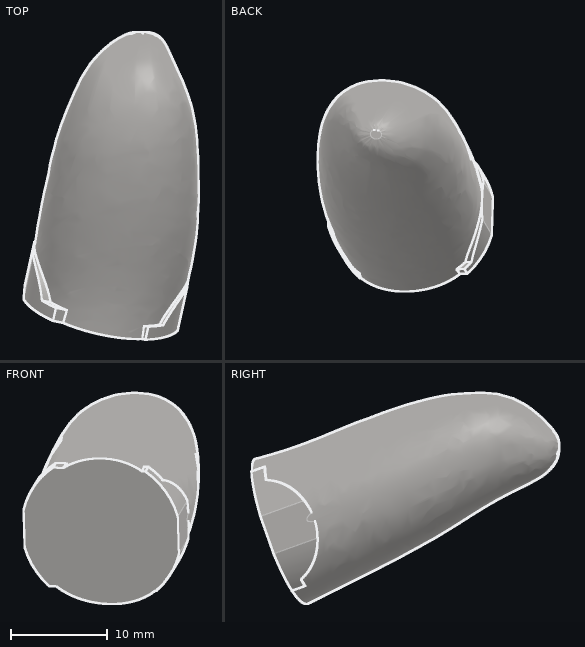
import cadquery as cq
import math

base_centre = (8.1, 3.25, 7.5)
lean_side = 0.22
lean_back = 0.36
base_turn = -2.5
base_plane = cq.Plane(
    origin=base_centre,
    xDir=(1, -lean_side, 0),
    normal=(-lean_side, -1, -lean_back),
).rotated((0, 0, base_turn))
trim_size = 63.82

finger_sections = [
    (-3.2, -0.8, 15.0, -4.6, 13.82),
    (1.6, 0.13, 15.9, -2.1, 15.4),
    (6.38, 0.83, 17.17, 0.3, 17.0),
    (11.17, 1.4, 18.03, 2.68, 18.95),
    (15.95, 2.33, 18.25, 5.15, 20.65),
    (20.75, 3.4, 18.05, 7.88, 21.75),
    (24.9, 4.98, 17.3, 10.47, 21.9),
    (28.08, 6.6, 16.0, 12.13, 20.87),
    (30.3, 8.58, 14.95, 13.37, 19.15),
    (31.45, 10.28, 14.1, 14.55, 17.85),
    (31.9, 11.6, 12.75, 15.83, 16.8),
]
section_points = 16
section_skew = math.radians(4.5)
section_fullness = 0.01

cuff_radius = 8.42
cuff_width = 16.35
cuff_height = 1.47
band_span = 13.08
band_lift = 0.32
tab_height = 5.3
tab_drop = 0.5
tab_radius = tab_height + tab_drop


def section_wire(y, left, right, lower, upper):
    """Closed oval in the plane at distance y, always started near its right-hand edge."""
    half_width = (right - left) / 2 / (1 - section_fullness)
    half_height = (upper - lower) / 2 / (1 - section_fullness)
    points = []
    for step in range(section_points):
        angle = 2 * math.pi * step / section_points
        lagged = angle - section_skew
        across = math.cos(lagged) - section_fullness * math.cos(3 * lagged)
        up = math.sin(angle) + section_fullness * math.sin(3 * angle)
        x = (left + right) / 2 + half_width * across
        z = (lower + upper) / 2 + half_height * up
        points.append(cq.Vector(x, y, z))
    return cq.Wire.assembleEdges([cq.Edge.makeSpline(points, periodic=True)])


def finger_body():
    """Smooth tapering finger whose root runs past the base plane."""
    wires = [section_wire(*section) for section in finger_sections]
    return cq.Workplane(cq.Solid.makeLoft(wires))


def base_block(height):
    """Block on the base plane, as wide as the cuff and as tall as its side bands."""
    return (
        cq.Workplane(base_plane)
        .center(0, band_lift)
        .rect(cuff_width, band_span)
        .extrude(-height)
    )


def cuff():
    """Side bands and their round tabs, standing on the base plane."""
    column = cq.Workplane(base_plane).circle(cuff_radius).extrude(-tab_height)
    tab_disc = (
        cq.Workplane(base_plane)
        .transformed(rotate=(0, 90, 0), offset=(0, 0, tab_drop))
        .circle(tab_radius)
        .extrude(cuff_width, both=True)
    )
    tabs = base_block(tab_height).intersect(tab_disc)
    return column.intersect(base_block(cuff_height).union(tabs))


def root_waste():
    """Everything on the outer side of the base plane."""
    return cq.Workplane(base_plane).rect(trim_size, trim_size).extrude(trim_size)


result = finger_body().union(cuff()).cut(root_waste())